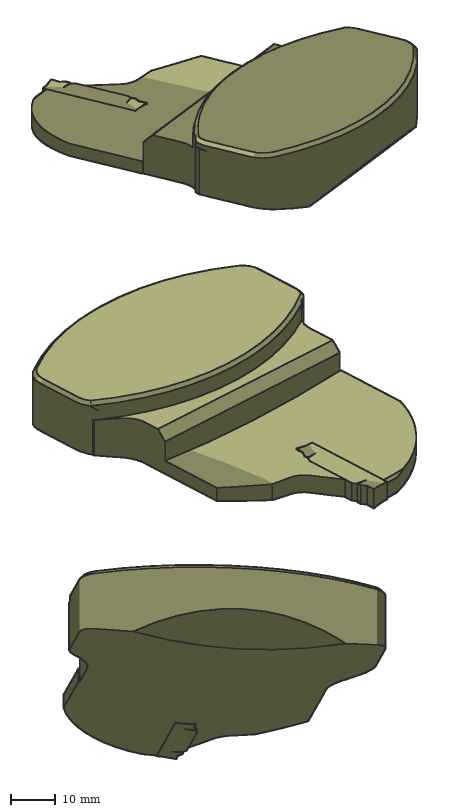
import cadquery as cq
import math

length = 85.9
head_width = 70.0
height = 17.9

underside_z = 0.3
underside_radius = 146.1
blade_top_z = 4.9
blade_top_radius = 292.2

head_half_length = 20.0
head_arc_radius = 60.5
head_corner_radius = 6.0
rim_chamfer = 0.9
front_rim_depth = 2.1
front_rim_inset = 1.2
front_rim_taper = 0.35
heel_chamfer = 7.1

blade_front_x = 0.8
blade_left_y = 25.95
blade_right_y = -29.65
neck_right_y = -29.4
neck_front_x = 40.7
neck_top_z = 13.4
neck_chamfer = 2.3
nose_arc_start_y = -7.9
seat_corner_x = 7.8
nose_chamfer_length = 0.7
nose_chamfer_drop = 0.5

insert_length = 24.9
insert_left_y = 1.5
insert_right_y = -4.55
tip_y = 0.1
shoulder_y = 0.9
taper_end_y = -2.7
end_taper = 0.4
pad_rise = 0.3

head_x = length - head_half_length
half_width = head_width / 2


def prism(outline, top_z, bottom_z=0):
    """Extrude a closed XY outline between two heights."""
    return outline.close().extrude(top_z - bottom_z).translate((0, 0, bottom_z))


def bar_along_x(radius, lowest_z):
    """Cylinder along X whose lowest line is at the given height."""
    return (cq.Workplane("YZ").center(0, lowest_z + radius).circle(radius)
            .extrude(length + 1.7).translate((-0.9, 0, 0)))


def make_head():
    """Lens between two arcs with flat ends, rounded corners and a chamfered rim."""
    end_half_length = (head_half_length - head_arc_radius
                       + math.sqrt(head_arc_radius ** 2 - half_width ** 2))
    front_end = head_x - end_half_length
    rear_end = head_x + end_half_length
    front_x = head_x - head_half_length
    head = prism(
        cq.Workplane("XY").moveTo(front_end, -half_width)
        .lineTo(rear_end, -half_width)
        .threePointArc((length, 0), (rear_end, half_width))
        .lineTo(front_end, half_width)
        .threePointArc((front_x, 0), (front_end, -half_width)),
        height)
    head = head.edges("|Z").fillet(head_corner_radius)
    head = head.faces(">Z").edges().chamfer(rim_chamfer)
    return head.cut(make_front_rim_cutter(front_x))


def make_front_rim_cutter(front_x):
    """Ring that tapers the upper front wall of the head inward toward the rim."""
    arc_center_x = front_x + head_arc_radius
    taper_base_z = height - front_rim_depth
    return (cq.Workplane("XZ")
            .polyline([(-head_arc_radius, taper_base_z), (-head_arc_radius - 0.9, taper_base_z),
                       (-head_arc_radius - 0.9, height), (front_rim_inset - head_arc_radius, height),
                       (front_rim_taper - head_arc_radius, height - rim_chamfer)])
            .close().revolve(360, (0, 0, 0), (0, 1, 0))
            .translate((arc_center_x, 0, 0)))


def insert_outline():
    """Symmetric insert outline, from the right side round to the tips."""
    left_half = [(end_taper, insert_right_y), (end_taper, taper_end_y), (0, tip_y), (2.15, tip_y),
                 (3.4, shoulder_y), (4.55, shoulder_y), (5.8, insert_left_y)]
    right_half = [(insert_length - x, y) for x, y in reversed(left_half)]
    return cq.Workplane("XY").polyline(left_half + right_half)


def make_blade():
    """Thin blade with a round right side and a notched left side."""
    blade = prism(
        cq.Workplane("XY").moveTo(blade_front_x, nose_arc_start_y)
        .threePointArc((8.1, -21.3), (21.7, blade_right_y))
        .lineTo(neck_front_x, blade_right_y)
        .lineTo(neck_front_x, blade_left_y)
        .lineTo(24.15, blade_left_y)
        .lineTo(17.45, 15.0)
        .lineTo(16.9, 9.8)
        .threePointArc((16.2, 7.7), (14.4, 5.85))
        .lineTo(seat_corner_x, insert_left_y)
        .lineTo(seat_corner_x, insert_right_y)
        .lineTo(blade_front_x, insert_right_y),
        height)
    nose_cutter = (
        cq.Workplane("XZ")
        .polyline([(blade_front_x, blade_top_z - nose_chamfer_drop),
                   (blade_front_x, blade_top_z + nose_chamfer_drop),
                   (blade_front_x + 2 * nose_chamfer_length, blade_top_z + nose_chamfer_drop)])
        .close().extrude(head_width / 2))
    return blade.cut(bar_along_x(blade_top_radius, blade_top_z)).cut(nose_cutter)


def make_neck():
    """Block joining blade and head, flared on the left side; the right flank is trimmed later."""
    flare_end_x = 55.85
    flare_end_y = 33.5
    neck = prism(
        cq.Workplane("XY").moveTo(neck_front_x, -flare_end_y)
        .lineTo(head_x, -flare_end_y)
        .lineTo(head_x, flare_end_y)
        .lineTo(flare_end_x, flare_end_y)
        .lineTo(52.6, 29.05)
        .threePointArc((50.7, 27.1), (47.8, blade_left_y))
        .lineTo(neck_front_x, blade_left_y),
        neck_top_z)
    return neck.faces("<X").edges(">Z").chamfer(neck_chamfer)


def make_corner_block():
    """Filler that sharpens the right front head corner below the rim."""
    inner_y = -32.65
    front_x = 55.85
    return (cq.Workplane("XY")
            .box(head_x - front_x, half_width + inner_y, height - front_rim_depth, centered=False)
            .translate((front_x, -half_width, 0)))


def make_corner_relief():
    """Full-height cutter for the S-shaped flank between neck and head on the right side."""
    outside_x = neck_front_x - 0.9
    return prism(
        cq.Workplane("XY").moveTo(outside_x, neck_right_y)
        .lineTo(50.6, neck_right_y)
        .threePointArc((53.8, -30.3), (55.9, -32.2))
        .threePointArc((57.1, -34.0), (58.5, -half_width))
        .lineTo(outside_x, -half_width),
        height)


def make_heel_cutter():
    """Wedge below the sloping rear heel."""
    return (cq.Workplane("XZ")
            .polyline([(length - heel_chamfer, underside_z), (length, underside_z + heel_chamfer),
                       (length, underside_z)])
            .close().extrude(half_width, both=True))


def make_holder():
    """Blade, neck and head in one piece, with a through seat for the insert."""
    seat = prism(insert_outline(), height)
    holder = make_head().union(make_neck()).union(make_corner_block())
    holder = holder.cut(make_corner_relief())
    holder = holder.union(make_blade())
    holder = holder.intersect(bar_along_x(underside_radius, underside_z))
    return holder.cut(make_heel_cutter()).cut(seat)


def make_pad():
    """Sloping chip pad that grows from the flat top of the insert to its tip."""
    inner_right = (0.5, -3.5)
    inner_left = (4.3, -1.7)
    hinge_x = inner_left[0] - inner_right[0]
    hinge_y = inner_left[1] - inner_right[1]
    hinge_length = math.hypot(hinge_x, hinge_y)
    tip_reach = (hinge_x * (tip_y - inner_right[1]) + hinge_y * inner_right[0]) / hinge_length
    slope = pad_rise / tip_reach
    region = prism(
        cq.Workplane("XY").polyline([inner_right, inner_left, (4.55, shoulder_y), (3.4, shoulder_y),
                                     (2.15, tip_y), (0, tip_y), (end_taper, taper_end_y),
                                     (end_taper, inner_right[1])]),
        blade_top_z + 2 * pad_rise, blade_top_z)
    hinge_plane = cq.Plane(origin=(*inner_right, blade_top_z), xDir=(-hinge_y, hinge_x, 0),
                           normal=(hinge_x, hinge_y, 0))
    wedge_reach = 2 * insert_length
    wedge = (cq.Workplane(hinge_plane)
             .polyline([(0, 0), (wedge_reach, 0), (wedge_reach, slope * wedge_reach)])
             .close().extrude(insert_length, both=True))
    return region.intersect(wedge)


def make_insert():
    """Flat bar with a chip pad above and below each end."""
    body = prism(insert_outline(), blade_top_z, underside_z)
    pad = make_pad()
    middle = (insert_length / 2, 0, (blade_top_z + underside_z) / 2)
    end_pads = pad.union(pad.mirror("YZ", middle))
    return body.union(end_pads).union(end_pads.mirror("XY", middle))


holder = make_holder()
insert = make_insert()
result = cq.Compound.makeCompound([holder.val(), insert.val()])